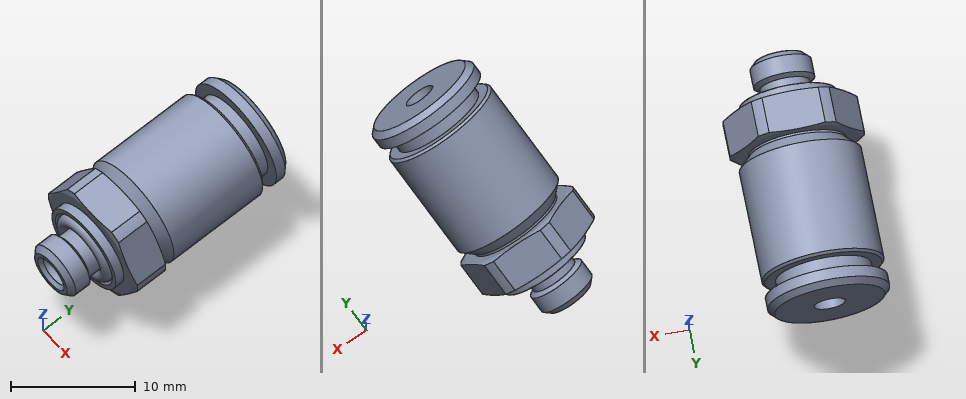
import cadquery as cq


overall_length = 20.9
bore_radius = 1.3
bore_chamfer = 0.33
thread_radius = 2.5
tip_chamfer = 0.5
neck_radius = 2.05
thread_shoulder_y = 1.99
neck_start_y = 2.25

collar_radius = 3.95
collar_face_y = 3.47
hex_start_y = 4.3
hex_end_y = 7.52
hex_flats = 10.0
hex_corner_radius = 5.5
hex_chamfer_depth = 0.13
hex_turn = 30.0

body_radius = hex_flats / 2
undercut_radius = 4.01
undercut_end_y = 7.71
cone_length = body_radius - undercut_radius
body_end_y = 18.22
body_chamfer = 0.2
groove_radius = 3.93
cap_start_y = 19.48
cap_chamfer = 0.5

ring_tube_radius = 0.6
ring_center_radius = neck_radius + ring_tube_radius
ring_outer_radius = ring_center_radius + ring_tube_radius
ring_protrusion = 0.35
ring_center_y = collar_face_y - ring_protrusion + ring_tube_radius
recess_floor_y = ring_center_y + ring_tube_radius
recess_mouth_radius = 3.51


def revolve_profile(points):
    """Turn a closed (radius, y) profile once around the Y axis."""
    return cq.Workplane("XY").polyline(points).close().revolve(360, (0, 0, 0), (0, 1, 0))


def make_turned_shape():
    """Round outer form of the fitting, including the ring recess, on a through bore."""
    return revolve_profile([
        (bore_radius + bore_chamfer, 0),
        (thread_radius - tip_chamfer, 0),
        (thread_radius, tip_chamfer),
        (thread_radius, thread_shoulder_y),
        (neck_radius, neck_start_y),
        (neck_radius, recess_floor_y),
        (ring_outer_radius, recess_floor_y),
        (ring_outer_radius, ring_center_y),
        (recess_mouth_radius, collar_face_y),
        (collar_radius, collar_face_y),
        (collar_radius, hex_start_y),
        (undercut_radius, hex_start_y),
        (undercut_radius, undercut_end_y),
        (body_radius, undercut_end_y + cone_length),
        (body_radius, body_end_y - body_chamfer),
        (body_radius - body_chamfer, body_end_y),
        (groove_radius, body_end_y),
        (groove_radius, cap_start_y),
        (body_radius, cap_start_y),
        (body_radius, overall_length - cap_chamfer),
        (body_radius - cap_chamfer, overall_length),
        (bore_radius, overall_length),
        (bore_radius, bore_chamfer),
    ])


def make_hexagon():
    """Hexagonal sleeve with flats facing +Z and -Z, rounded corners and chamfered ends."""
    prism = (
        cq.Workplane("XZ", origin=(0, hex_start_y, 0))
        .polygon(6, hex_flats, circumscribed=True)
        .extrude(hex_start_y - hex_end_y)
        .rotate((0, 0, 0), (0, 1, 0), hex_turn)
    )
    corner_envelope = revolve_profile([
        (collar_radius, hex_start_y),
        (body_radius, hex_start_y),
        (hex_corner_radius, hex_start_y + hex_chamfer_depth),
        (hex_corner_radius, hex_end_y - hex_chamfer_depth),
        (body_radius, hex_end_y),
        (collar_radius, hex_end_y),
    ])
    return prism.intersect(corner_envelope)


def make_fitting():
    return make_turned_shape().union(make_hexagon())


def make_sealing_ring():
    return (
        cq.Workplane("XY")
        .center(ring_center_radius, ring_center_y)
        .circle(ring_tube_radius)
        .revolve(360, (-ring_center_radius, 0, 0), (-ring_center_radius, 1, 0))
    )


fitting = make_fitting()
sealing_ring = make_sealing_ring()
result = cq.Compound.makeCompound([fitting.val(), sealing_ring.val()])